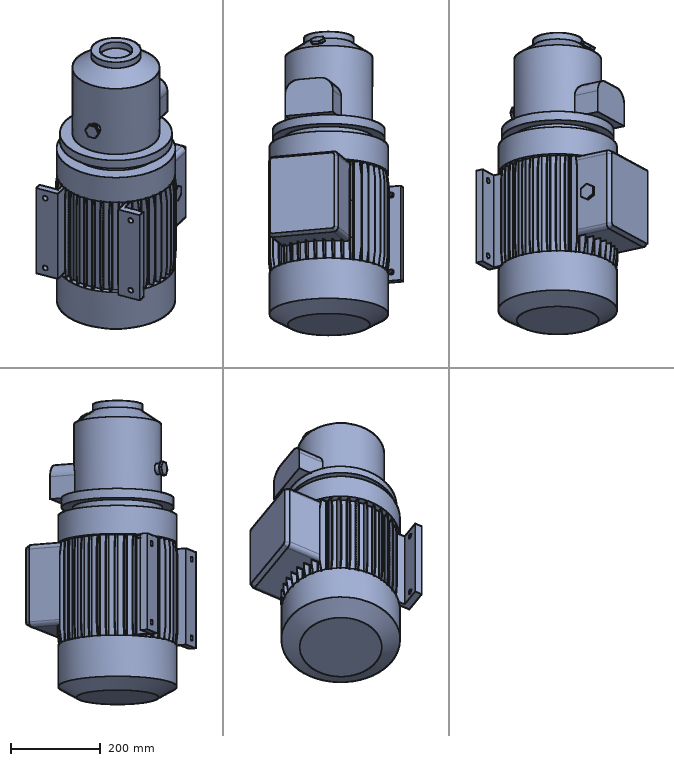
import cadquery as cq
import math

motor_radius = 132.0
tail_radius = 91.0
tail_height = 24.0
motor_top = 410.0
barrel_bottom = 117.0
barrel_top = 346.5
barrel_radius = 119.5

fins_per_group = 10
fin_thickness = 2.0
fin_seat_radius = 128.0
fin_rise = 6.0
fin_end_drop = 4.0
fin_taper_length = 30.0
fin_root = 66.0
fin_group_angles = (0, 90, 180, 270)

foot_outer = 131.0
foot_inner = 76.0
foot_web_thickness = 8.5
foot_web_sink = 8.5
foot_plate_thickness = 17.0
foot_bottom = motor_radius
foot_low = 122.0
foot_high = 340.0
foot_hole_diameter = 12.0
foot_hole_x = 108.0
foot_hole_inset = 20.0

box_width = 162.0
box_outer_y = 190.0
box_low = 160.5
box_corner_radius = 10.5
box_bevel_depth = 10.5
box_bevel_inset = 6.0
nut_reach = 6.0
nut_flats = 32.0
nut_y = 131.0

neck_radius = 100.0
flange_radius = 125.0
flange_bottom = 429.0
flange_top = 449.5
head_radius = 97.0
shoulder_bottom = 617.0
shoulder_top = 646.0
collar_radius = 55.5
head_top = 661.0
bore_radius = 36.5
bore_depth = 16.0

port_width = 2 * collar_radius
port_outer_y = 140.0
port_top = 531.0
port_edge_radius = 30.5

plug_shank_radius = 12.5
plug_root = 13.0
plug_head_height = 6.5
plug_head_flats = 29.0
drain_plug_z = 509.0
drain_plug_standoff = 10.5
vent_plug_standoff = 1.0


def block(x_min, x_max, y_min, y_max, z_min, z_max):
    """Rectangular block between the given limits."""
    size = (x_max - x_min, y_max - y_min, z_max - z_min)
    return cq.Workplane("XY").box(*size, centered=False).translate((x_min, y_min, z_min))


def revolve_profile(points):
    """Turned solid from (radius, height) points about Z."""
    return cq.Workplane("XZ").polyline(points).close().revolve(360, (0, 0, 0), (0, 1, 0))


def hex_prism(plane, flats, height):
    """Hexagonal prism standing on a plane, with two corners on the plane's x axis."""
    corner_diameter = flats / math.cos(math.radians(30))
    return cq.Workplane(plane).polygon(6, corner_diameter).extrude(height)


def make_motor_shell():
    """Round motor housing: tapered fan cover, barrel and end shield."""
    return revolve_profile([
        (0, 0),
        (tail_radius, 0),
        (motor_radius, tail_height),
        (motor_radius, barrel_bottom),
        (barrel_radius, barrel_bottom),
        (barrel_radius, barrel_top),
        (motor_radius, barrel_top),
        (motor_radius, motor_top),
        (0, motor_top),
    ])


def make_fin(angle):
    """Plate on the +X side, parallel to XZ, whose outer edge tapers at both ends."""
    fin_y = fin_seat_radius * math.sin(math.radians(angle))
    tip = fin_seat_radius * math.cos(math.radians(angle)) + fin_rise
    outline = [
        (fin_root, barrel_bottom),
        (tip - fin_end_drop, barrel_bottom),
        (tip, barrel_bottom + fin_taper_length),
        (tip, barrel_top - fin_taper_length),
        (tip - fin_end_drop, barrel_top),
        (fin_root, barrel_top),
    ]
    plate = cq.Workplane("XZ").polyline(outline).close().extrude(fin_thickness / 2, both=True)
    return plate.translate((0, fin_y, 0))


def make_fins():
    """All fins of the barrel, as a list of plates."""
    pitch = 90 / fins_per_group
    fins = []
    for group_angle in fin_group_angles:
        for i in range(fins_per_group):
            fin = make_fin((i - (fins_per_group - 1) / 2) * pitch)
            fins.append(fin.rotate((0, 0, 0), (0, 0, 1), group_angle))
    return fins


def make_fin_trim():
    """Block beyond the foot plane, which trims the fin tips level with the feet."""
    reach = fin_seat_radius + fin_rise
    return block(-reach, reach, -reach, -foot_bottom, barrel_bottom, barrel_top)


def make_foot():
    """L-shaped rail on the +X side with two bolt holes through its plate."""
    web_outer = foot_inner + foot_web_thickness
    web_end = -math.sqrt(barrel_radius**2 - web_outer**2) + foot_web_sink
    plate_top = foot_plate_thickness - foot_bottom
    web = block(foot_inner, web_outer, -foot_bottom, web_end, foot_low, foot_high)
    plate = block(foot_inner, foot_outer, -foot_bottom, plate_top, foot_low, foot_high)
    hole_heights = (foot_low + foot_hole_inset, foot_high - foot_hole_inset)
    holes = (
        cq.Workplane("XZ", origin=(0, plate_top, 0))
        .pushPoints([(foot_hole_x, z) for z in hole_heights])
        .circle(foot_hole_diameter / 2)
        .extrude(foot_plate_thickness)
    )
    return web.union(plate).cut(holes)


def make_terminal_box():
    """Box with rounded corners and a bevelled cover, sunk into the barrel, and its cable nut."""
    half_width = box_width / 2
    box_middle_z = (box_low + barrel_top) / 2
    wall_end = box_outer_y - box_bevel_depth
    bevel_angle = math.degrees(math.atan2(box_bevel_inset, box_bevel_depth))
    section = cq.Sketch().rect(barrel_top - box_low, box_width).vertices().fillet(box_corner_radius)
    walls = (
        cq.Workplane("ZX", origin=(0, half_width, box_middle_z))
        .placeSketch(section)
        .extrude(wall_end - half_width)
    )
    cover = (
        cq.Workplane("ZX", origin=(0, wall_end, box_middle_z))
        .placeSketch(section)
        .extrude(box_bevel_depth, taper=bevel_angle)
    )
    box = walls.union(cover)
    nut_plane = cq.Plane(origin=(half_width, nut_y, box_middle_z), xDir=(0, 0, 1), normal=(1, 0, 0))
    return box.union(hex_prism(nut_plane, nut_flats, nut_reach))


def make_motor():
    """Complete motor body."""
    motor = make_motor_shell()
    for fin in make_fins():
        motor = motor.union(fin)
    motor = motor.cut(make_fin_trim())
    foot = make_foot()
    return motor.union(foot).union(foot.mirror("YZ")).union(make_terminal_box())


def make_plug(seat, normal, standoff):
    """Plug with its shank rooted below the seat point and its hexagon head above it."""
    plane = cq.Plane(origin=seat, xDir=(1, 0, 0), normal=normal)
    shank = (
        cq.Workplane(plane)
        .workplane(offset=-plug_root)
        .circle(plug_shank_radius)
        .extrude(plug_root + standoff)
    )
    head_plane = cq.Workplane(plane).workplane(offset=standoff).plane
    return shank.union(hex_prism(head_plane, plug_head_flats, plug_head_height))


def make_head_shell():
    """Turned gear head: neck, flange, cylinder, conical shoulder and bored collar."""
    bore_floor = head_top - bore_depth
    return revolve_profile([
        (0, motor_top),
        (neck_radius, motor_top),
        (neck_radius, flange_bottom),
        (flange_radius, flange_bottom),
        (flange_radius, flange_top),
        (head_radius, flange_top),
        (head_radius, shoulder_bottom),
        (collar_radius, shoulder_top),
        (collar_radius, head_top),
        (bore_radius, head_top),
        (bore_radius, bore_floor),
        (0, bore_floor),
    ])


def make_port_block():
    """Block standing on the flange, with its two upper edges rounded."""
    half_width = port_width / 2
    port = block(-half_width, half_width, 0, port_outer_y, flange_top, port_top)
    return port.edges("|Y and >Z").fillet(port_edge_radius)


def make_gear_head():
    """Complete gear head body with its drain plug and its vent plug."""
    drain_plug = make_plug((0, -head_radius, drain_plug_z), (0, -1, 0), drain_plug_standoff)
    shoulder_run = head_radius - collar_radius
    shoulder_rise = shoulder_top - shoulder_bottom
    shoulder_middle = (0, (head_radius + collar_radius) / 2, (shoulder_bottom + shoulder_top) / 2)
    vent_plug = make_plug(shoulder_middle, (0, shoulder_rise, shoulder_run), vent_plug_standoff)
    return make_head_shell().union(make_port_block()).union(drain_plug).union(vent_plug)


motor = make_motor()
gear_head = make_gear_head()
result = cq.Compound.makeCompound([motor.val(), gear_head.val()])